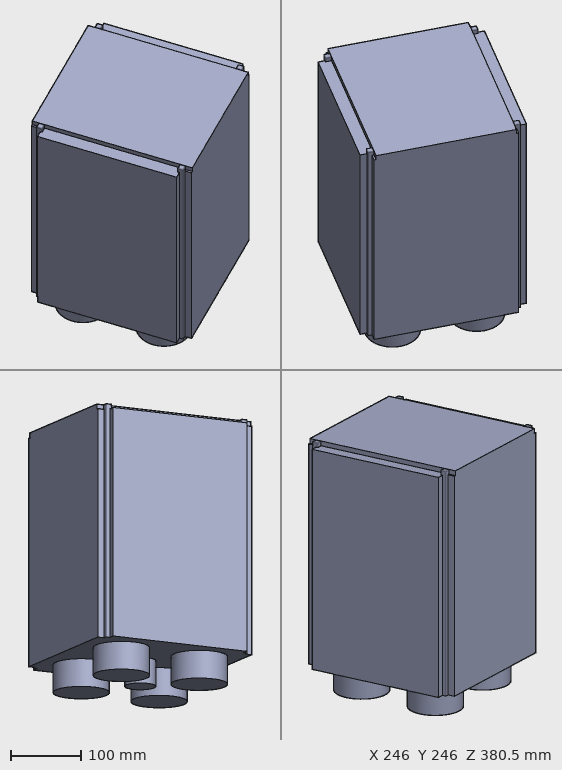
import cadquery as cq

outer_width = 246.0
overall_height = 380.5

foot_height = 40.5
lid_thickness = 7.2
lid_depth = 207.8
panel_width = 214.0

post_outer_span = 225.5
post_size = 8.8
post_edge_radius = 0.7

foot_diameter = 80.3
foot_spacing = 124.5
center_foot_diameter = 44.0
center_foot_height = 37.3

cabinet_height = overall_height - foot_height
panel_height = cabinet_height - lid_thickness
post_spacing = post_outer_span - post_size


def upright_box(width, depth, height):
    """A centred box standing on the cabinet's bottom plane, Z = 0."""
    return cq.Workplane("XY").box(width, depth, height, centered=(True, True, False))


def make_cabinet():
    """Crossed blocks form the four side panels; the lid lies over the X pair."""
    side_panels = upright_box(outer_width, panel_width, panel_height)
    doors = upright_box(panel_width, outer_width, panel_height)
    lid = upright_box(outer_width, lid_depth, cabinet_height)
    return side_panels.union(doors).union(lid)


def make_posts():
    """Four full-height posts in the open corners between the panels."""
    return (
        cq.Workplane("XY")
        .rarray(post_spacing, post_spacing, 2, 2)
        .rect(post_size, post_size)
        .extrude(cabinet_height)
        .edges("|Z or >Z")
        .fillet(post_edge_radius)
    )


def make_feet():
    """Four corner feet and a shorter, thinner foot in the middle."""
    corner_feet = (
        cq.Workplane("XY")
        .rarray(foot_spacing, foot_spacing, 2, 2)
        .circle(foot_diameter / 2)
        .extrude(-foot_height)
    )
    center_foot = cq.Workplane("XY").circle(center_foot_diameter / 2).extrude(-center_foot_height)
    return corner_feet.union(center_foot)


result = make_cabinet().union(make_posts()).union(make_feet())